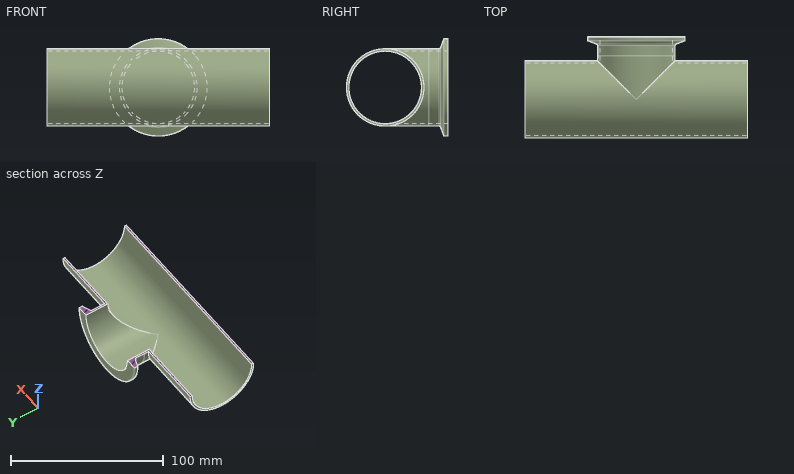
import cadquery as cq
import math

run_length = 146.0
tube_outer_radius = 50.8 / 2
tube_inner_radius = 47.5 / 2

branch_reach = 41.2
flange_radius = 64.0 / 2
rim_thickness = 2.8
rim_face_radius = 0.5
rim_back_radius = 0.3
flange_back_angle = 20.0
neck_fillet_radius = 1.2

weld_width = 0.5
weld_from_face = 12.5


def make_run_cylinder(radius):
    left_end = (-run_length / 2, 0, 0)
    return cq.Workplane("YZ", origin=left_end).circle(radius).extrude(run_length)


def make_branch_bore():
    return cq.Workplane("XZ").circle(tube_inner_radius).extrude(-branch_reach)


def make_branch():
    """Solid branch revolved about Y: tube, flush weld band, filleted neck and clamp flange."""
    weld_start = branch_reach - weld_from_face - weld_width / 2
    weld_end = weld_start + weld_width

    back_angle = math.radians(flange_back_angle)
    rim_corner = branch_reach - rim_thickness
    neck_corner = rim_corner - (flange_radius - tube_outer_radius) * math.tan(back_angle)

    tangent_ratio = math.tan((math.pi / 2 - back_angle) / 2)
    neck_tangent = neck_fillet_radius * tangent_ratio
    rim_tangent = rim_back_radius * tangent_ratio
    neck_cone_point = (
        tube_outer_radius + neck_tangent * math.cos(back_angle),
        neck_corner + neck_tangent * math.sin(back_angle),
    )
    rim_cone_point = (
        flange_radius - rim_tangent * math.cos(back_angle),
        rim_corner - rim_tangent * math.sin(back_angle),
    )
    return (
        cq.Workplane("XY")
        .lineTo(tube_outer_radius, 0)
        .lineTo(tube_outer_radius, weld_start)
        .lineTo(tube_outer_radius, weld_end)
        .lineTo(tube_outer_radius, neck_corner - neck_tangent)
        .radiusArc(neck_cone_point, neck_fillet_radius)
        .lineTo(*rim_cone_point)
        .radiusArc((flange_radius, rim_corner + rim_tangent), -rim_back_radius)
        .lineTo(flange_radius, branch_reach - rim_face_radius)
        .radiusArc((flange_radius - rim_face_radius, branch_reach), -rim_face_radius)
        .lineTo(0, branch_reach)
        .close()
        .revolve(360, (0, 0, 0), (0, 1, 0), clean=False)
    )


tee = make_run_cylinder(tube_outer_radius).union(make_branch(), clean=False)
tee = tee.cut(make_run_cylinder(tube_inner_radius), clean=False)
result = tee.cut(make_branch_bore(), clean=False)